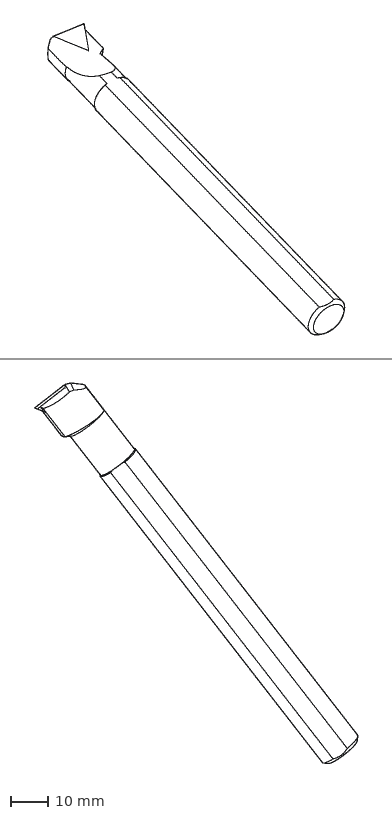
import cadquery as cq
import math

TOTAL_LENGTH = 125.0

SHANK_RADIUS = 6.0
FLAT_HEIGHT = 5.5
SHANK_START = 25.1
FRONT_CHAMFER = 0.2
REAR_CHAMFER = 1.0

NECK_RADIUS = 5.8
HEAD_RADIUS = 6.9
HEAD_OFFSET_Y = 1.1
NECK_START = 11.6
HEAD_CONE_ANGLE = 32.0

TIP_Y = 8.8
TIP_Z = 0.19
RAKE_ANGLE = 8.0
RELIEF_ANGLE = 7.0

EDGE_LENGTH = 10.2
INSERT_DEPTH = 9.2
INSERT_THICKNESS = 2.2

SIDE_INSET = 1.1
FIRST_FACET_U = 0.6
FIRST_FACET_V = 1.5
SECOND_FACET_SIZE = 7.5
CLIP_DEPTH = 10.0
CLIP_MARGIN = 7.5

SCOOP_U = 1.0
SCOOP_V = -8.1
SCOOP_FLOOR_RADIUS = 10.0
SCOOP_RIM_RADIUS = 17.5
SCOOP_RIM_ANGLE = 60.0

rake = math.radians(RAKE_ANGLE)
rake_plane = cq.Plane(
    origin=(0, TIP_Y, TIP_Z), xDir=(1, 0, 0), normal=(0, math.sin(rake), math.cos(rake))
)


def rod(radius, start, end, y=0.0):
    """Round rod along X."""
    return cq.Workplane("YZ", origin=(start, y, 0)).circle(radius).extrude(end - start)


def make_shank():
    """Round shank, chamfered at both ends, with a flat above and below."""
    shank = rod(SHANK_RADIUS, SHANK_START, TOTAL_LENGTH)
    shank = shank.faces("<X").chamfer(FRONT_CHAMFER)
    shank = shank.faces(">X").chamfer(REAR_CHAMFER)
    between_flats = cq.Workplane("XY").box(2 * TOTAL_LENGTH, 2 * SHANK_RADIUS, 2 * FLAT_HEIGHT)
    return shank.intersect(between_flats)


def make_neck():
    """Slimmer neck carrying on the upper flat only."""
    neck = rod(NECK_RADIUS, NECK_START, SHANK_START)
    above_flat = cq.Workplane("XY", origin=(0, 0, FLAT_HEIGHT)).box(
        2 * TOTAL_LENGTH, 2 * SHANK_RADIUS, 4 * SHANK_RADIUS, centered=(True, True, False)
    )
    return neck.cut(above_flat)


def make_head_blank():
    """Offset round head, its rear edge turned to a cone that meets the neck."""
    head = rod(HEAD_RADIUS, 0, NECK_START, HEAD_OFFSET_Y)
    cone_radius = 2 * HEAD_RADIUS
    cone_start = NECK_START - (cone_radius - NECK_RADIUS) * math.tan(math.radians(HEAD_CONE_ANGLE))
    turned = (
        cq.Workplane("XY")
        .lineTo(0, cone_radius)
        .lineTo(cone_start, cone_radius)
        .lineTo(NECK_START, NECK_RADIUS)
        .lineTo(NECK_START, 0)
        .close()
        .revolve(360, (0, 0), (1, 0))
    )
    return head.intersect(turned)


def make_head_waste():
    """Material outside the head's relieved front, tip side and corner facets."""
    corner_v = -EDGE_LENGTH - FIRST_FACET_V
    far_u = NECK_START + CLIP_MARGIN
    far_v = corner_v - SECOND_FACET_SIZE
    outline = [
        (0, -SIDE_INSET),
        (0, -EDGE_LENGTH),
        (FIRST_FACET_U, corner_v),
        (FIRST_FACET_U + SECOND_FACET_SIZE, far_v),
        (far_u, far_v),
        (far_u, -SIDE_INSET),
    ]
    kept = cq.Workplane(rake_plane).polyline(outline).close().extrude(-CLIP_DEPTH, taper=RELIEF_ANGLE)
    waste = (
        cq.Workplane(rake_plane)
        .moveTo(-CLIP_MARGIN, CLIP_MARGIN)
        .lineTo(NECK_START, CLIP_MARGIN)
        .lineTo(NECK_START, corner_v)
        .lineTo(FIRST_FACET_U + SECOND_FACET_SIZE, far_v)
        .lineTo(-CLIP_MARGIN, far_v)
        .close()
        .extrude(-CLIP_DEPTH)
    )
    side_strip = (
        cq.Workplane(rake_plane)
        .moveTo(0, -SIDE_INSET)
        .lineTo(NECK_START, -SIDE_INSET)
        .lineTo(NECK_START, CLIP_MARGIN)
        .lineTo(0, CLIP_MARGIN)
        .close()
        .extrude(CLIP_DEPTH)
    )
    return waste.cut(kept).union(side_strip)


def make_scoop():
    """Disc-shaped cutter standing on the rake plane, with a concave rim."""
    angle = math.radians(SCOOP_RIM_ANGLE)

    def rim_point(a):
        return (
            SCOOP_FLOOR_RADIUS + SCOOP_RIM_RADIUS * math.sin(a),
            SCOOP_RIM_RADIUS * (1 - math.cos(a)),
        )

    top = rim_point(angle)
    profile_plane = cq.Plane(
        origin=rake_plane.toWorldCoords((SCOOP_U, SCOOP_V, 0)), xDir=(1, 0, 0), normal=-rake_plane.yDir
    )
    return (
        cq.Workplane(profile_plane)
        .lineTo(SCOOP_FLOOR_RADIUS, 0)
        .threePointArc(rim_point(angle / 2), top)
        .lineTo(0, top[1])
        .close()
        .revolve(360, (0, 0), (0, 1))
    )


def make_insert():
    """Triangular cutting insert with relieved sides."""
    corners = [(0, 0), (0, -EDGE_LENGTH), (INSERT_DEPTH, -EDGE_LENGTH / 2)]
    return (
        cq.Workplane(rake_plane).polyline(corners).close().extrude(-INSERT_THICKNESS, taper=RELIEF_ANGLE)
    )


insert = make_insert()

bar = make_head_blank().cut(make_head_waste())
bar = bar.union(make_neck()).union(make_shank())
bar = bar.cut(make_scoop()).cut(insert)

result = cq.Compound.makeCompound([bar.val(), insert.val()])